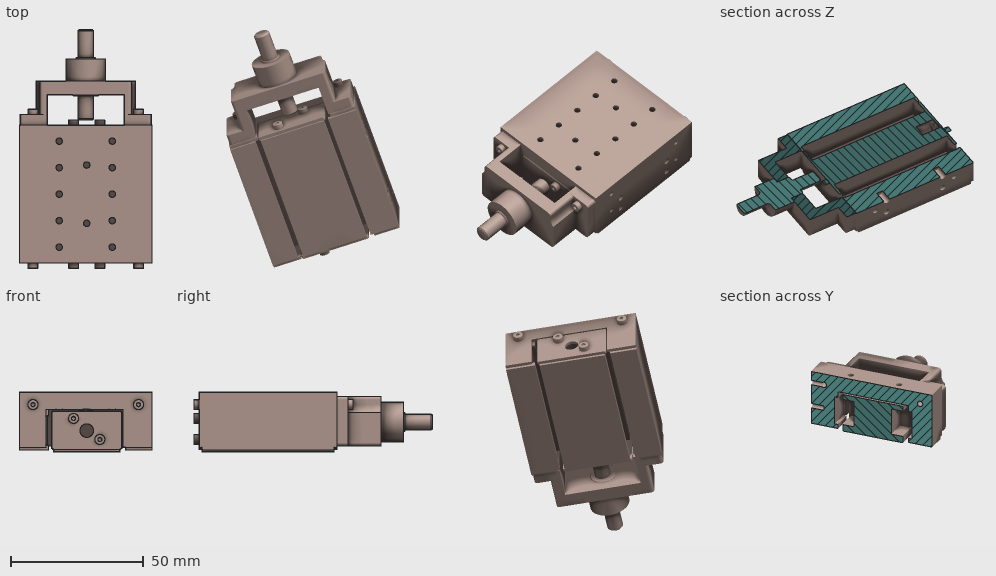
import cadquery as cq
import math


CARRIAGE_WIDTH = 50.0
CARRIAGE_LENGTH = 52.0
TOP_Z = 22.5
CEILING_Z = 16.0
LIP_BOTTOM_Z = 0.6
END_BOTTOM_Z = 1.7
END_LENGTH = 1.2
CHANNEL_NEAR = 13.95
CHANNEL_FAR = 15.0
TRACK_BOTTOM_Z = 2.5
TRACK_TOP_Z = 13.6
TRACK_DEPTH = 1.35

TOP_HOLE_DIAMETER = 2.4
TOP_HOLE_PITCH = 10.0
TOP_HOLE_ROWS = 5
ACCESS_HOLE_SPACING = 22.0

SIDE_HOLE_Z = 8.1
SMALL_SIDE_DIAMETER = 1.9
SMALL_SIDE_SPACING = 34.9
LARGE_SIDE_DIAMETER = 2.4
LARGE_SIDE_SPACING = 24.8
LARGE_SIDE_RISE = 3.0
SIDE_HOLE_DEPTH = 5.1

HEAD_DIAMETER = 3.8
HEAD_HEIGHT = 2.0
HEAD_ROUND = 0.3
SHANK_DIAMETER = 2.1
SHANK_LENGTH = 4.5
SOCKET_DIAMETER = 1.7
SOCKET_DEPTH = 0.7
SOCKET_CONE_DEPTH = 0.4
CARRIAGE_SCREW_X = 19.9
CARRIAGE_SCREW_Z = 17.8
CARRIAGE_TAP_DEPTH = 12.6

BASE_X = 0.4
BASE_WIDTH = 25.0
BASE_TOP_Z = 15.5
BASE_RECESS_BOTTOM_Z = 2.9
BASE_RECESS_TOP_Z = 13.2
BASE_RECESS_DEPTH = 4.7
CAP_WIDTH = 26.55
CAP_BOTTOM_Z = 0.9
CAP_CHAMFER = 0.2
CAP_CORNER = 0.45
BORE_DIAMETER = 5.1
CAVITY_DIAMETER = 8.1
CAVITY_DEPTH = 7.2
BORE_Z = 8.0
BASE_SCREW_SPREAD = 4.95
BASE_SCREW_RISE = 4.0
BASE_SCREW_MIDDLE_Z = 8.6

BRACKET_WIDTH = 49.5
BRACKET_BOTTOM_Z = 2.2
BRACKET_TOP_Z = 20.9
BRACKET_ROUND = 1.2
FLANGE_THICKNESS = 4.05
BRACKET_DEPTH = 16.6
WALL_THICKNESS = 5.1
LEG_INNER_X = 14.5
LEG_OUTER_X = 18.7
LEG_TOP_X = 17.3
SCALLOP_DROP = 3.1

ADJUSTER_Z = 11.25
SHAFT_DIAMETER = 6.0
SHAFT_CHAMFER = 0.5
SHAFT_INNER_GAP = 1.9
OVERALL_LENGTH = 90.0
BARREL_DIAMETER = 15.0
BARREL_LENGTH = 8.5
SHOULDER_BASE_DIAMETER = 7.5
SHOULDER_TOP_DIAMETER = 6.9
SHOULDER_LENGTH = 0.5
SPIGOT_DIAMETER = 9.9
SPIGOT_CHAMFER = 0.3
SPIGOT_PROTRUSION = 0.4

BACK_Y = CARRIAGE_LENGTH
MIDDLE_Y = CARRIAGE_LENGTH / 2
INNER_RANGE = (END_LENGTH, BACK_Y - END_LENGTH)
BRACKET_END_Y = BACK_Y + BRACKET_DEPTH
WALL_Y = BRACKET_END_Y - WALL_THICKNESS
FLANGE_BACK_Y = BACK_Y + FLANGE_THICKNESS


def block(x_range, y_range, z_range):
    """Box between the given limits."""
    sizes = [high - low for low, high in (x_range, y_range, z_range)]
    return cq.Workplane("XY").box(*sizes, centered=False).translate((x_range[0], y_range[0], z_range[0]))


def y_cylinder(diameter, x, z, y_start, y_end):
    """Cylinder along Y."""
    start = cq.Vector(x, y_start, z)
    return cq.Workplane(cq.Solid.makeCylinder(diameter / 2, y_end - y_start, start, cq.Vector(0, 1, 0)))


def mirror_to_back(shape):
    """Copy from the front end of the stage at its back end."""
    return shape.mirror("XZ", (0, MIDDLE_Y, 0))


def front_screw(x, z):
    """Socket head screw whose head rests on the plane Y = 0."""
    head = y_cylinder(HEAD_DIAMETER, x, z, -HEAD_HEIGHT, 0).faces("<Y").edges().fillet(HEAD_ROUND)
    shank = y_cylinder(SHANK_DIAMETER, x, z, 0, SHANK_LENGTH)

    hexagon = cq.Workplane("XZ", origin=(x, -HEAD_HEIGHT, z)).transformed(rotate=(0, 0, 90))
    socket = hexagon.polygon(6, SOCKET_DIAMETER).extrude(-SOCKET_DEPTH)
    floor = cq.Vector(x, SOCKET_DEPTH - HEAD_HEIGHT, z)
    cone_radius = SOCKET_DIAMETER / 2 * math.cos(math.pi / 6)
    cone = cq.Solid.makeCone(cone_radius, 0, SOCKET_CONE_DEPTH, floor, cq.Vector(0, 1, 0))
    return head.union(shank).cut(socket).cut(cq.Workplane(cone))


CARRIAGE_SCREW_POINTS = [(side * CARRIAGE_SCREW_X, CARRIAGE_SCREW_Z) for side in (-1, 1)]
BASE_SCREW_POINTS = [
    (BASE_X + side * BASE_SCREW_SPREAD, BASE_SCREW_MIDDLE_Z - side * BASE_SCREW_RISE) for side in (-1, 1)
]


def side_hole(diameter, y, z):
    """Blind hole drilled into the -X side."""
    start = cq.Vector(-CARRIAGE_WIDTH / 2, y, z)
    return cq.Workplane(cq.Solid.makeCylinder(diameter / 2, SIDE_HOLE_DEPTH, start, cq.Vector(1, 0, 0)))


def make_carriage():
    half = CARRIAGE_WIDTH / 2
    body = block((-half, half), (0, BACK_Y), (END_BOTTOM_Z, TOP_Z))
    body = body.union(block((-half, half), INNER_RANGE, (LIP_BOTTOM_Z, END_BOTTOM_Z)))

    for y_range in ((0, INNER_RANGE[0]), (INNER_RANGE[1], BACK_Y)):
        body = body.cut(block((-CHANNEL_FAR, CHANNEL_NEAR), y_range, (0, CEILING_Z)))
    body = body.cut(block((-CHANNEL_NEAR, CHANNEL_FAR), INNER_RANGE, (0, CEILING_Z)))
    track_range = (-CHANNEL_NEAR - TRACK_DEPTH, CHANNEL_FAR + TRACK_DEPTH)
    body = body.cut(block(track_range, INNER_RANGE, (TRACK_BOTTOM_Z, TRACK_TOP_Z)))

    mounting = cq.Workplane("XY", origin=(0, MIDDLE_Y, CEILING_Z)).rarray(
        2 * TOP_HOLE_PITCH, TOP_HOLE_PITCH, 2, TOP_HOLE_ROWS
    )
    body = body.cut(mounting.circle(TOP_HOLE_DIAMETER / 2).extrude(TOP_Z - CEILING_Z))
    access = cq.Workplane("XY", origin=(BASE_X, MIDDLE_Y, CEILING_Z)).rarray(0.9, ACCESS_HOLE_SPACING, 1, 2)
    body = body.cut(access.circle(TOP_HOLE_DIAMETER / 2).extrude(TOP_Z - CEILING_Z))

    for x, z in CARRIAGE_SCREW_POINTS:
        tapped = y_cylinder(SHANK_DIAMETER, x, z, 0, CARRIAGE_TAP_DEPTH)
        body = body.cut(tapped).cut(mirror_to_back(tapped))

    for end in (-1, 1):
        small_y = MIDDLE_Y + end * SMALL_SIDE_SPACING / 2
        large_y = MIDDLE_Y + end * LARGE_SIDE_SPACING / 2
        for z in (SIDE_HOLE_Z, CARRIAGE_SCREW_Z):
            body = body.cut(side_hole(SMALL_SIDE_DIAMETER, small_y, z))
        for z in (SIDE_HOLE_Z - LARGE_SIDE_RISE, SIDE_HOLE_Z + LARGE_SIDE_RISE):
            body = body.cut(side_hole(LARGE_SIDE_DIAMETER, large_y, z))
    return body


def make_base():
    half = BASE_WIDTH / 2
    web_half = half - BASE_RECESS_DEPTH
    body = block((BASE_X - half, BASE_X + half), INNER_RANGE, (0, BASE_TOP_Z))
    for x_range in ((BASE_X - half, BASE_X - web_half), (BASE_X + web_half, BASE_X + half)):
        body = body.cut(block(x_range, INNER_RANGE, (BASE_RECESS_BOTTOM_Z, BASE_RECESS_TOP_Z)))

    cap = block((BASE_X - CAP_WIDTH / 2, BASE_X + CAP_WIDTH / 2), (0, END_LENGTH), (CAP_BOTTOM_Z, BASE_TOP_Z))
    cap = cap.edges("|Y").chamfer(CAP_CORNER).faces("<Y").edges("not <Z").chamfer(CAP_CHAMFER)
    body = body.union(cap).union(mirror_to_back(cap))

    cavity_end = END_LENGTH + CAVITY_DEPTH
    body = body.cut(y_cylinder(BORE_DIAMETER, BASE_X, BORE_Z, 0, END_LENGTH))
    body = body.cut(y_cylinder(CAVITY_DIAMETER, BASE_X, BORE_Z, END_LENGTH, cavity_end))
    for x, z in BASE_SCREW_POINTS:
        tapped = y_cylinder(SHANK_DIAMETER, x, z, 0, SHANK_LENGTH)
        body = body.cut(tapped).cut(mirror_to_back(tapped))
    return body


def leg_section():
    """Cross-section of the legs, scalloped beside the screw heads."""
    flat_x = LEG_TOP_X
    step = LEG_OUTER_X - flat_x
    radius = (step**2 + SCALLOP_DROP**2) / (2 * step)
    angle = math.asin(SCALLOP_DROP / radius) / 2
    mid_x = flat_x + radius * (1 - math.cos(angle))
    mid_z = CARRIAGE_SCREW_Z - radius * math.sin(angle)
    scallop_z = CARRIAGE_SCREW_Z - SCALLOP_DROP
    return (
        cq.Workplane("XZ", origin=(0, BACK_Y, 0))
        .moveTo(-LEG_OUTER_X, BRACKET_BOTTOM_Z)
        .lineTo(LEG_OUTER_X, BRACKET_BOTTOM_Z)
        .lineTo(LEG_OUTER_X, scallop_z)
        .threePointArc((mid_x, mid_z), (flat_x, CARRIAGE_SCREW_Z))
        .lineTo(flat_x, BRACKET_TOP_Z)
        .lineTo(-flat_x, BRACKET_TOP_Z)
        .lineTo(-flat_x, CARRIAGE_SCREW_Z)
        .threePointArc((-mid_x, mid_z), (-LEG_OUTER_X, scallop_z))
        .close()
    )


def make_bracket():
    legs = leg_section().extrude(-BRACKET_DEPTH).edges("|Y and (>Z or <Z)").fillet(BRACKET_ROUND)
    half = BRACKET_WIDTH / 2
    flange = block((-half, half), (BACK_Y, FLANGE_BACK_Y), (BRACKET_BOTTOM_Z, BRACKET_TOP_Z))
    body = legs.union(flange.edges("|Y").fillet(BRACKET_ROUND))
    body = body.cut(block((-LEG_INNER_X, LEG_INNER_X), (BACK_Y, WALL_Y), (BRACKET_BOTTOM_Z, BRACKET_TOP_Z)))
    body = body.cut(y_cylinder(SPIGOT_DIAMETER, 0, ADJUSTER_Z, WALL_Y, BRACKET_END_Y))
    for x, z in CARRIAGE_SCREW_POINTS:
        screw = mirror_to_back(front_screw(x, z)).translate((0, FLANGE_THICKNESS, 0))
        body = body.union(screw)
    return body


def make_adjuster():
    tip_y = OVERALL_LENGTH - HEAD_HEIGHT
    barrel_end = BRACKET_END_Y + BARREL_LENGTH
    shaft = y_cylinder(SHAFT_DIAMETER, 0, ADJUSTER_Z, BACK_Y + SHAFT_INNER_GAP, tip_y)
    shaft = shaft.faces("<Y or >Y").chamfer(SHAFT_CHAMFER)
    spigot = y_cylinder(SPIGOT_DIAMETER, 0, ADJUSTER_Z, WALL_Y - SPIGOT_PROTRUSION, BRACKET_END_Y)
    spigot = spigot.faces("<Y").chamfer(SPIGOT_CHAMFER)
    barrel = y_cylinder(BARREL_DIAMETER, 0, ADJUSTER_Z, BRACKET_END_Y, barrel_end)
    shoulder = cq.Solid.makeCone(
        SHOULDER_BASE_DIAMETER / 2,
        SHOULDER_TOP_DIAMETER / 2,
        SHOULDER_LENGTH,
        cq.Vector(0, barrel_end, ADJUSTER_Z),
        cq.Vector(0, 1, 0),
    )
    return shaft.union(spigot).union(barrel).union(cq.Workplane(shoulder))


carriage = make_carriage()
base = make_base()
bracket = make_bracket()
adjuster = make_adjuster()

carriage_screws = [front_screw(x, z) for x, z in CARRIAGE_SCREW_POINTS]
base_screws = []
for x, z in BASE_SCREW_POINTS:
    screw = front_screw(x, z)
    base_screws += [screw, mirror_to_back(screw)]

result = cq.Compound.makeCompound(
    [
        carriage.val(),
        base.val(),
        bracket.val(),
        adjuster.val(),
        *[screw.val() for screw in carriage_screws + base_screws],
    ]
)